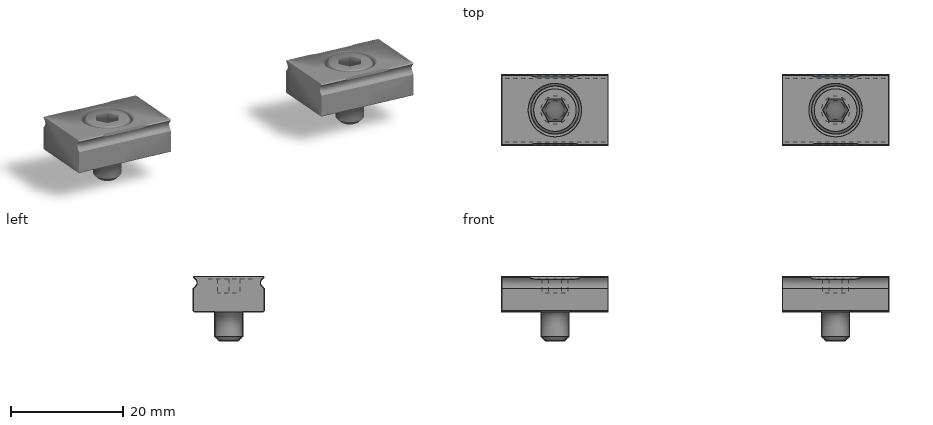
import cadquery as cq
import math

OVERALL_LENGTH = 69.05
BLOCK_LENGTH = 19.0
BLOCK_WIDTH = 12.7
BLOCK_HEIGHT = 6.35
BLOCK_PITCH = OVERALL_LENGTH - BLOCK_LENGTH
BLOCK_COUNT = 2
EDGE_CHAMFER = 0.2

GROOVE_DEPTH = 0.7
GROOVE_ROOT_RADIUS = 0.8
GROOVE_CENTRE_DROP = 1.2

RELIEF_DEPTH = 0.4
RELIEF_FLAT_LENGTH = 6.35
RELIEF_END_RADIUS = 3.0

HEAD_DIAMETER = 8.55
HEAD_CHAMFER = 0.5
RIM_CHAMFER = 0.5
SOCKET_SIDES = 6
SOCKET_ACROSS_FLATS = 4.0
SOCKET_DEPTH = 3.0
SHANK_DIAMETER = 5.05
SHANK_LENGTH = 5.2
SHANK_TIP_CHAMFER = 0.8


def make_block_body():
    """Plain block with its bottom on Z = 0, its long edges chamfered."""
    block = cq.Workplane("XY").box(BLOCK_LENGTH, BLOCK_WIDTH, BLOCK_HEIGHT, centered=(True, True, False))
    return block.edges("|X").chamfer(EDGE_CHAMFER)


def make_side_groove():
    """Cutter for the groove on the +Y side: 45 degree flanks tangent to a round root."""
    side_y = BLOCK_WIDTH / 2
    centre_z = BLOCK_HEIGHT - GROOVE_CENTRE_DROP
    root_y = side_y - GROOVE_DEPTH
    tangent_rise = GROOVE_ROOT_RADIUS * math.sin(math.radians(45))
    tangent_y = root_y + GROOVE_ROOT_RADIUS - tangent_rise
    mouth_rise = tangent_rise + side_y - tangent_y
    return (
        cq.Workplane("YZ", origin=(-BLOCK_LENGTH / 2, 0, 0))
        .moveTo(side_y, centre_z - mouth_rise)
        .lineTo(tangent_y, centre_z - tangent_rise)
        .threePointArc((root_y, centre_z), (tangent_y, centre_z + tangent_rise))
        .lineTo(side_y, centre_z + mouth_rise)
        .close()
        .extrude(BLOCK_LENGTH)
    )


def make_lip_relief():
    """Cutter for the +Y lip: a flat floor that rises to the side face in an arc at each end."""
    side_y = BLOCK_WIDTH / 2
    floor_y = side_y - RELIEF_DEPTH
    half_flat = RELIEF_FLAT_LENGTH / 2
    sweep = math.acos(1 - RELIEF_DEPTH / RELIEF_END_RADIUS)
    half_mouth = half_flat + RELIEF_END_RADIUS * math.sin(sweep)
    middle_x = half_flat + RELIEF_END_RADIUS * math.sin(sweep / 2)
    middle_y = floor_y + RELIEF_END_RADIUS * (1 - math.cos(sweep / 2))
    return (
        cq.Workplane("XY", origin=(0, 0, BLOCK_HEIGHT - GROOVE_CENTRE_DROP))
        .moveTo(-half_mouth, side_y)
        .threePointArc((-middle_x, middle_y), (-half_flat, floor_y))
        .lineTo(half_flat, floor_y)
        .threePointArc((middle_x, middle_y), (half_mouth, side_y))
        .close()
        .extrude(GROOVE_CENTRE_DROP)
    )


def make_head_ring():
    """V-shaped ring cutter between the countersunk rim and the chamfered screw head."""
    head_radius = HEAD_DIAMETER / 2
    return (
        cq.Workplane("XZ")
        .moveTo(head_radius - HEAD_CHAMFER, BLOCK_HEIGHT)
        .lineTo(head_radius, BLOCK_HEIGHT - HEAD_CHAMFER)
        .lineTo(head_radius + RIM_CHAMFER, BLOCK_HEIGHT)
        .close()
        .revolve(360, (0, 0, 0), (0, 1, 0))
    )


def make_hex_socket():
    """Cutter for the hexagonal key socket, with two corners on the X axis."""
    across_corners = SOCKET_ACROSS_FLATS / math.cos(math.pi / SOCKET_SIDES)
    return (
        cq.Workplane("XY", origin=(0, 0, BLOCK_HEIGHT - SOCKET_DEPTH))
        .polygon(SOCKET_SIDES, across_corners)
        .extrude(SOCKET_DEPTH)
    )


def make_shank():
    """Screw shank below the block, with a chamfered tip."""
    shank = cq.Workplane("XY").circle(SHANK_DIAMETER / 2).extrude(-SHANK_LENGTH)
    return shank.faces("<Z").chamfer(SHANK_TIP_CHAMFER)


def make_clamp_block():
    """One complete clamp block with its screw, as a single solid."""
    clamp = make_block_body()
    for side_cutter in (make_side_groove(), make_lip_relief()):
        clamp = clamp.cut(side_cutter).cut(side_cutter.mirror("XZ"))
    clamp = clamp.cut(make_head_ring()).cut(make_hex_socket())
    return clamp.union(make_shank())


clamp_blocks = []
for index in range(BLOCK_COUNT):
    offset = (index - (BLOCK_COUNT - 1) / 2) * BLOCK_PITCH
    clamp_blocks.append(make_clamp_block().translate((offset, 0, 0)).val())

result = cq.Compound.makeCompound(clamp_blocks)